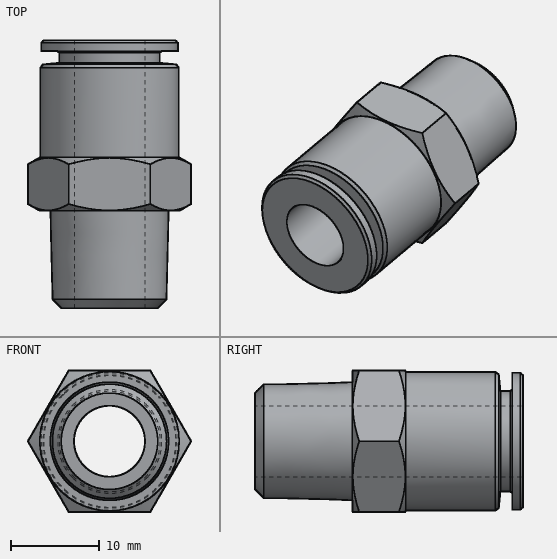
import cadquery as cq
import math

tip_chamfer_length = 1.0
hex_start = 11.0
hex_end = 17.05
body_end = 27.57
collar_start = 29.05
total_length = 30.3

bore_radius = 4.0
tip_radius = 5.45
taper_small_radius = 6.45
taper_large_radius = 6.7
body_radius = 7.85
neck_radius = 5.7
collar_radius = 7.75

body_chamfer = 0.4
body_chamfer_depth = 0.3
collar_chamfer = 0.3
neck_chamfer = 0.18

shoulder_rise = 0.18

across_flats = 16.0
across_corners = across_flats / math.cos(math.pi / 6)
hex_face_radius = 7.88
hex_chamfer_angle = math.radians(30)


def revolve_profile(points):
    """Revolve a closed (radius, y) outline about the Y axis."""
    return cq.Workplane("XY").polyline(points).close().revolve(360, (0, 0), (0, 1))


def make_turned_body():
    return revolve_profile([
        (0, 0),
        (tip_radius, 0),
        (taper_small_radius, tip_chamfer_length),
        (taper_large_radius, hex_start),
        (body_radius, hex_start),
        (body_radius, body_end - body_chamfer),
        (body_radius - body_chamfer_depth, body_end),
        (neck_radius, body_end + shoulder_rise),
        (neck_radius, collar_start - neck_chamfer),
        (neck_radius + neck_chamfer, collar_start),
        (collar_radius, collar_start),
        (collar_radius, total_length - collar_chamfer),
        (collar_radius - collar_chamfer, total_length),
        (0, total_length),
    ])


def make_hexagon():
    """Hexagon with corners on the X axis and both ends cut back by cones."""
    prism = (
        cq.Workplane("XZ", origin=(0, hex_start, 0))
        .polygon(6, across_corners)
        .extrude(hex_start - hex_end)
    )
    corner_radius = across_corners / 2
    corner_drop = (corner_radius - hex_face_radius) * math.tan(hex_chamfer_angle)
    envelope = revolve_profile([
        (0, hex_start),
        (hex_face_radius, hex_start),
        (corner_radius, hex_start + corner_drop),
        (corner_radius, hex_end - corner_drop),
        (hex_face_radius, hex_end),
        (0, hex_end),
    ])
    return prism.intersect(envelope)


def make_bore():
    return cq.Workplane("XZ").circle(bore_radius).extrude(-total_length)


result = make_turned_body().union(make_hexagon()).cut(make_bore())